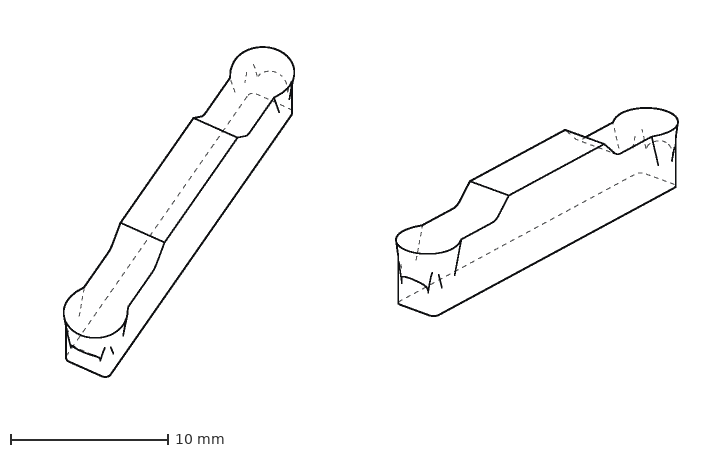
import cadquery as cq
import math

overall_length = 25.9
body_width = 3.2
body_length = 24.4
corner_radius = 0.41
shoulder_height = 4.5
crest_height = 5.8
crest_length = 9.53
blend_radius = 0.9
ramp_angle = 45.0

nose_radius = 2.02
nose_depth = 4.15
clearance_angle = 7.0
front_flank_angle = 14.0
rear_flank_angle = 25.0
front_flank_length = 0.35
relief_start_height = 1.58

body_end = body_length / 2
nose_center = overall_length / 2 - nose_radius
blend_tangent = blend_radius * math.tan(math.radians(ramp_angle / 2))
blend_side = blend_radius * math.sin(math.radians(ramp_angle))
blend_drop = blend_radius * (1 - math.cos(math.radians(ramp_angle)))


def make_body():
    """Rounded bar with a raised crest between two blended ramps."""
    bar = (
        cq.Workplane("XY")
        .rect(body_width, body_length)
        .extrude(shoulder_height)
        .edges("|Z")
        .fillet(corner_radius)
    )
    crest_end = crest_length / 2
    crest_rise = crest_height - shoulder_height
    ramp_foot = crest_end + crest_rise / math.tan(math.radians(ramp_angle))
    blend_end = ramp_foot + blend_tangent
    blend_top = (blend_end - blend_side, shoulder_height + blend_drop)
    half_turn = math.radians(ramp_angle / 2)
    blend_middle = (
        blend_end - blend_radius * math.sin(half_turn),
        shoulder_height + blend_radius * (1 - math.cos(half_turn)),
    )
    crest = (
        cq.Workplane("YZ")
        .moveTo(-blend_end, 0)
        .lineTo(blend_end, 0)
        .lineTo(blend_end, shoulder_height)
        .threePointArc(blend_middle, blend_top)
        .lineTo(crest_end, crest_height)
        .lineTo(-crest_end, crest_height)
        .lineTo(-blend_top[0], blend_top[1])
        .threePointArc((-blend_middle[0], blend_middle[1]), (-blend_end, shoulder_height))
        .close()
        .extrude(body_width / 2, both=True)
    )
    return bar.union(crest)


def make_nose():
    """Teardrop nose at the +Y end, tapering downward at the clearance angle."""
    angle = math.radians(front_flank_angle)
    rear_angle = math.radians(rear_flank_angle)
    tangent_x = nose_radius * math.cos(angle)
    tangent_y = nose_center - nose_radius * math.sin(angle)
    bend_x = tangent_x - front_flank_length * math.sin(angle)
    bend_y = tangent_y - front_flank_length * math.cos(angle)
    apex_y = bend_y - bend_x / math.tan(rear_angle)
    teardrop = (
        cq.Workplane("XY", origin=(0, 0, shoulder_height))
        .moveTo(0, apex_y)
        .lineTo(bend_x, bend_y)
        .lineTo(tangent_x, tangent_y)
        .threePointArc((0, nose_center + nose_radius), (-tangent_x, tangent_y))
        .lineTo(-bend_x, bend_y)
        .close()
        .extrude(-nose_depth, taper=clearance_angle)
    )
    relief_end = overall_length / 2
    slope_y = body_end + blend_drop
    slope_z = relief_start_height + blend_side
    relief_end_z = slope_z + (relief_end - slope_y) * math.tan(math.radians(ramp_angle))
    half_turn = math.radians(ramp_angle / 2)
    blend_middle = (
        body_end + blend_radius * (1 - math.cos(half_turn)),
        relief_start_height + blend_radius * math.sin(half_turn),
    )
    envelope = (
        cq.Workplane("YZ")
        .moveTo(0, 0)
        .lineTo(body_end, 0)
        .lineTo(body_end, relief_start_height)
        .threePointArc(blend_middle, (slope_y, slope_z))
        .lineTo(relief_end, relief_end_z)
        .lineTo(relief_end, shoulder_height)
        .lineTo(0, shoulder_height)
        .close()
        .extrude(nose_radius, both=True)
    )
    return teardrop.intersect(envelope)


nose = make_nose()
result = make_body().union(nose).union(nose.mirror("XZ")).clean()